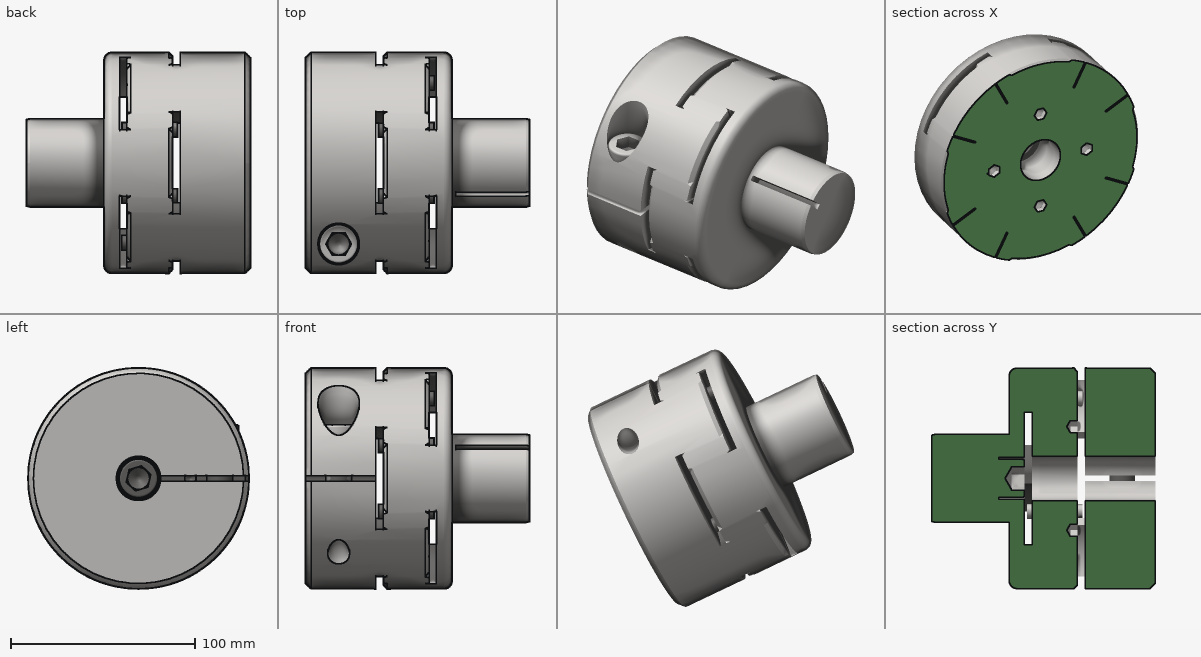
import cadquery as cq
import math


BODY_DIAMETER = 120.0
BODY_RADIUS = BODY_DIAMETER / 2
BODY_LENGTH = 79.5
FRONT_CHAMFER = 3.0
REAR_FILLET = 4.5
BORE_DIAMETER = 24.0

STUB_DIAMETER = 48.0
STUB_LENGTH = 42.0
STUB_TIP_LENGTH = 2.0
STUB_TIP_STEP = 0.5
TOTAL_LENGTH = BODY_LENGTH + STUB_LENGTH
STUB_SLOT_WIDTH = 3.0
STUB_SLOT_LENGTH = 40.0
STUB_SLOT_FLOOR_RADIUS = 15.0
STUB_SLOT_ANGLE = 135.0

GAP_WIDTH = 4.0
CLAMP_HUB_LENGTH = 38.2
MIDDLE_FRONT = CLAMP_HUB_LENGTH + GAP_WIDTH
MIDDLE_REAR = 67.0
STUB_HUB_FRONT = MIDDLE_REAR + GAP_WIDTH
OPENING_COUNT = 4
OPENING_STEP = 360.0 / OPENING_COUNT
OPENING_DIAMETER = 58.0
OPENING_PITCH_RADIUS = 44.6
FRONT_CORE_DIAMETER = 66.4
REAR_CORE_DIAMETER = 71.6
REAR_TURN = OPENING_STEP / 2

OPENING_HALF_ANGLE = math.degrees(
    math.acos(
        (BODY_RADIUS**2 + OPENING_PITCH_RADIUS**2 - (OPENING_DIAMETER / 2) ** 2)
        / (2 * BODY_RADIUS * OPENING_PITCH_RADIUS)
    )
)

RIM_CHAMFER = 2.1
RIM_CHAMFER_HALF_WIDTH = 19.4
RIM_CHAMFER_TAPER = 1.5
RIM_CHAMFER_END_SLOPE = 2.4
RELIEF_DEPTH = 1.9
RELIEF_WIDTH = 1.2
PIN_DIAMETER = 8.0
PIN_PITCH_RADIUS = 46.9
PIN_HEIGHT = 2.7
PIN_ANGLE = 22.5
SOCKET_PITCH_RADIUS = 28.1
SOCKET_ACROSS_FLATS = 6.2
SOCKET_DEPTH = 4.0

SCREW_DIAMETER = 14.0
HEAD_DIAMETER = 21.0
HEAD_HEIGHT = 14.0
HEAD_FILLET = 1.3
HEAD_ACROSS_FLATS = 12.0
HEAD_SOCKET_DEPTH = 7.0
SOCKET_TIP_ANGLE = 120.0
CLEARANCE_DIAMETER = 15.0

SLIT_WIDTH = 3.0
CLAMP_X = 18.0
CLAMP_Y = -44.0
CLAMP_HEAD_TOP = 29.0
CLAMP_COUNTERBORE_DIAMETER = 22.5
CLAMP_THREAD_DIAMETER = 11.84
CLAMP_SHANK_LENGTH = 45.0

AXIAL_COUNTERBORE_DIAMETER = 22.5
AXIAL_SHANK_LENGTH = 36.0
AXIAL_SCREW_ROLL = 13.0


def x_cylinder(diameter, start, end):
    """Cylinder on the shaft axis between two x positions."""
    return cq.Workplane("YZ", origin=(start, 0, 0)).circle(diameter / 2).extrude(end - start)


def z_cylinder(diameter, bottom, top):
    """Cylinder on the clamp screw axis between two heights."""
    base = cq.Workplane("XY", origin=(CLAMP_X, CLAMP_Y, bottom))
    return base.circle(diameter / 2).extrude(top - bottom)


def turned(shape, angle):
    """Shape turned about the shaft axis, from +Y towards +Z."""
    return shape.rotate((0, 0, 0), (1, 0, 0), angle)


def opening_angles(first):
    """Four evenly spaced angles about the shaft axis."""
    return [first + index * OPENING_STEP for index in range(OPENING_COUNT)]


def blank():
    stub_radius = STUB_DIAMETER / 2
    tip_start = TOTAL_LENGTH - STUB_TIP_LENGTH
    rounding = REAR_FILLET * (1 - math.sqrt(0.5))
    profile = (
        cq.Workplane("XY")
        .moveTo(0, 0)
        .lineTo(0, BODY_RADIUS - FRONT_CHAMFER)
        .lineTo(FRONT_CHAMFER, BODY_RADIUS)
        .lineTo(BODY_LENGTH - REAR_FILLET, BODY_RADIUS)
        .threePointArc(
            (BODY_LENGTH - rounding, BODY_RADIUS - rounding),
            (BODY_LENGTH, BODY_RADIUS - REAR_FILLET),
        )
        .lineTo(BODY_LENGTH, stub_radius)
        .lineTo(tip_start, stub_radius)
        .lineTo(TOTAL_LENGTH, stub_radius - STUB_TIP_STEP)
        .lineTo(TOTAL_LENGTH, 0)
        .close()
    )
    return profile.revolve(360, (0, 0, 0), (1, 0, 0))


def gap(start, core_diameter, turn):
    """Void of one gap."""
    void = x_cylinder(core_diameter, start, start + GAP_WIDTH)
    opening = x_cylinder(OPENING_DIAMETER, start, start + GAP_WIDTH)
    opening = opening.translate((0, OPENING_PITCH_RADIUS, 0))
    for angle in opening_angles(turn):
        void = void.union(turned(opening, angle))
    return void


def rim_chamfer(face, inward):
    """Chamfer with slanted ends on the rim of the middle disc, centred on +Y."""
    depth_x = face + inward * RIM_CHAMFER
    inner_radius = BODY_RADIUS - RIM_CHAMFER
    ring = (
        cq.Workplane("XY")
        .polyline([(face, inner_radius), (depth_x, BODY_RADIUS), (face, BODY_RADIUS)])
        .close()
        .revolve(360, (0, 0, 0), (1, 0, 0))
    )

    def span(half_width):
        narrow = half_width - RIM_CHAMFER_TAPER
        return [(face, -half_width), (depth_x, -narrow), (depth_x, narrow), (face, half_width)]

    chord_height = math.sqrt(BODY_RADIUS**2 - RIM_CHAMFER_HALF_WIDTH**2)
    low_width = RIM_CHAMFER_HALF_WIDTH - RIM_CHAMFER_END_SLOPE * RIM_CHAMFER
    high_width = RIM_CHAMFER_HALF_WIDTH + RIM_CHAMFER_END_SLOPE * (BODY_RADIUS - chord_height)
    wedge = (
        cq.Workplane("XZ", origin=(0, chord_height - RIM_CHAMFER, 0))
        .polyline(span(low_width))
        .close()
        .workplane(offset=chord_height - RIM_CHAMFER - BODY_RADIUS)
        .polyline(span(high_width))
        .close()
        .loft(ruled=True)
    )
    return ring.intersect(wedge)


def relief(face, inward, side):
    """Triangular notch in the middle disc at one end of an opening."""
    notch = (
        cq.Workplane("XZ", origin=(0, OPENING_PITCH_RADIUS, 0))
        .polyline([(face, 0), (face + inward * RELIEF_DEPTH, 0), (face, -side * RELIEF_WIDTH)])
        .close()
        .extrude(OPENING_PITCH_RADIUS - BODY_RADIUS)
    )
    return turned(notch, side * OPENING_HALF_ANGLE)


def cut_openings(body, face, inward, turn):
    """Rim chamfers and end notches on one face of the middle disc."""
    for angle in opening_angles(turn):
        body = body.cut(turned(rim_chamfer(face, inward), angle))
        for side in (-1, 1):
            body = body.cut(turned(relief(face, inward, side), angle))
    return body


def add_pins(body, start):
    """Four pins standing on one face of the middle disc."""
    pin = x_cylinder(PIN_DIAMETER, start, start + PIN_HEIGHT)
    pin = pin.translate((0, PIN_PITCH_RADIUS, 0))
    for angle in opening_angles(PIN_ANGLE):
        body = body.union(turned(pin, angle))
    return body


def hex_socket(across_flats, depth):
    """Hexagonal recess with a conical bottom, sunk from the XY plane along -Z."""
    corner_diameter = across_flats / math.cos(math.radians(30))
    radius = across_flats / 2
    cone_depth = radius / math.tan(math.radians(SOCKET_TIP_ANGLE / 2))
    prism = cq.Workplane("XY").polygon(6, corner_diameter).extrude(-depth)
    tip = (
        cq.Workplane("XZ")
        .polyline([(0, -depth), (radius, -depth), (0, -depth - cone_depth)])
        .close()
        .revolve(360, (0, 0, 0), (0, 1, 0))
    )
    return prism.union(tip)


def screw(shank_length):
    """Socket head screw along -Z with the top of its head at the origin."""
    head = cq.Workplane("XY").circle(HEAD_DIAMETER / 2).extrude(-HEAD_HEIGHT)
    head = head.faces(">Z").edges().fillet(HEAD_FILLET)
    shank = cq.Workplane("XY").circle(SCREW_DIAMETER / 2).extrude(-HEAD_HEIGHT - shank_length)
    return head.union(shank).cut(hex_socket(HEAD_ACROSS_FLATS, HEAD_SOCKET_DEPTH))


def facing_front(shape):
    """Shape modelled along -Z laid along +X, its top facing -X."""
    return shape.rotate((0, 0, 0), (0, 1, 0), -90)


def cut_middle_sockets(body):
    """Four small hexagon sockets in the front face of the middle disc."""
    socket = facing_front(hex_socket(SOCKET_ACROSS_FLATS, SOCKET_DEPTH))
    socket = socket.translate((MIDDLE_FRONT, SOCKET_PITCH_RADIUS, 0))
    for angle in opening_angles(0):
        body = body.cut(turned(socket, angle))
    return body


def add_axial_screw(body):
    seat = STUB_HUB_FRONT + HEAD_HEIGHT
    body = body.cut(x_cylinder(BORE_DIAMETER, 0, STUB_HUB_FRONT))
    body = body.cut(x_cylinder(AXIAL_COUNTERBORE_DIAMETER, STUB_HUB_FRONT, seat))
    axial_screw = turned(facing_front(screw(AXIAL_SHANK_LENGTH)), AXIAL_SCREW_ROLL)
    return body.union(axial_screw.translate((STUB_HUB_FRONT, 0, 0)))


def cut_stub_slot(body):
    """Slot along the stub, open at its tip and with a round floor."""
    slot_start = TOTAL_LENGTH - STUB_SLOT_LENGTH
    slot = (
        cq.Workplane("XY")
        .box(STUB_SLOT_LENGTH, STUB_DIAMETER, STUB_SLOT_WIDTH, centered=(False, False, True))
        .translate((slot_start, 0, 0))
    )
    slot = slot.cut(x_cylinder(2 * STUB_SLOT_FLOOR_RADIUS, slot_start, TOTAL_LENGTH))
    return body.cut(turned(slot, STUB_SLOT_ANGLE))


def add_clamp(body):
    """Slit through the clamp hub towards -Y and the screw that closes it."""
    slit = (
        cq.Workplane("XY")
        .box(CLAMP_HUB_LENGTH, BODY_RADIUS, SLIT_WIDTH, centered=(False, False, True))
        .translate((0, -BODY_RADIUS, 0))
    )
    seat = CLAMP_HEAD_TOP - HEAD_HEIGHT
    body = body.cut(slit)
    body = body.cut(z_cylinder(CLAMP_COUNTERBORE_DIAMETER, seat, BODY_RADIUS))
    body = body.cut(z_cylinder(CLEARANCE_DIAMETER, 0, seat))
    body = body.cut(z_cylinder(CLAMP_THREAD_DIAMETER, -BODY_RADIUS, 0))
    clamp_screw = screw(CLAMP_SHANK_LENGTH)
    return body.union(clamp_screw.translate((CLAMP_X, CLAMP_Y, CLAMP_HEAD_TOP)))


coupling = blank()
coupling = coupling.cut(gap(CLAMP_HUB_LENGTH, FRONT_CORE_DIAMETER, 0))
coupling = coupling.cut(gap(MIDDLE_REAR, REAR_CORE_DIAMETER, REAR_TURN))
coupling = cut_openings(coupling, MIDDLE_FRONT, 1, 0)
coupling = cut_openings(coupling, MIDDLE_REAR, -1, REAR_TURN)
coupling = add_pins(coupling, MIDDLE_FRONT - PIN_HEIGHT)
coupling = add_pins(coupling, MIDDLE_REAR)
coupling = cut_middle_sockets(coupling)
coupling = add_axial_screw(coupling)
coupling = cut_stub_slot(coupling)
coupling = add_clamp(coupling)

result = coupling